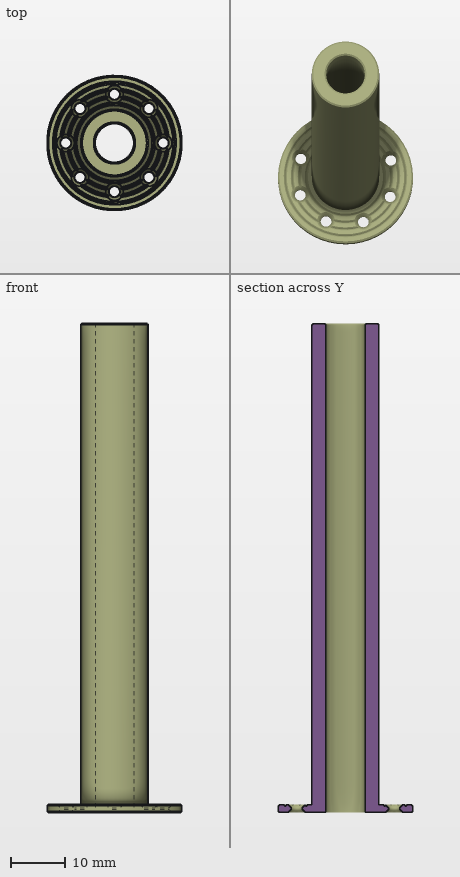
import cadquery as cq

length = 90.6
flange_diameter = 25.0
flange_thickness = 1.5
tube_diameter = 12.5
bore_diameter = 7.2

edge_chamfer = 0.3

groove_count = 4
first_groove_radius = 7.25
last_groove_radius = 11.15
groove_pitch = (last_groove_radius - first_groove_radius) / (groove_count - 1)
groove_width = 0.6
groove_depth = groove_width / 2

hole_count = 8
hole_diameter = 2.0
countersink_diameter = 3.3
countersink_depth = (countersink_diameter - hole_diameter) / 2
hole_circle_diameter = 18.0


def make_flange():
    flange = cq.Workplane("XY").circle(flange_diameter / 2).extrude(flange_thickness)
    return flange.edges().chamfer(edge_chamfer)


def make_tube():
    tube = cq.Workplane("XY").circle(tube_diameter / 2).extrude(length)
    return tube.faces(">Z").edges().chamfer(edge_chamfer)


def make_bore():
    """Cutter for the through bore, flared by a chamfer at the top of the tube."""
    bore_radius = bore_diameter / 2
    profile = [
        (0, 0),
        (bore_radius, 0),
        (bore_radius, length - edge_chamfer),
        (bore_radius + edge_chamfer, length),
        (0, length),
    ]
    return cq.Workplane("XZ").polyline(profile).close().revolve(360, (0, 0, 0), (0, 1, 0))


def make_groove(radius):
    """Ring-shaped cutter with a V section that opens at the top face of the flange."""
    profile = [
        (radius - groove_width / 2, flange_thickness),
        (radius, flange_thickness - groove_depth),
        (radius + groove_width / 2, flange_thickness),
    ]
    return cq.Workplane("XZ").polyline(profile).close().revolve(360, (0, 0, 0), (0, 1, 0))


def make_screw_holes():
    """Cutters for the ring of screw holes, each flared towards both flange faces."""
    hole_radius = hole_diameter / 2
    countersink_radius = countersink_diameter / 2
    profile = [
        (0, 0),
        (countersink_radius, 0),
        (hole_radius, countersink_depth),
        (hole_radius, flange_thickness - countersink_depth),
        (countersink_radius, flange_thickness),
        (0, flange_thickness),
    ]
    hole = cq.Workplane("XZ").polyline(profile).close().revolve(360, (0, 0, 0), (0, 1, 0)).val()
    places = cq.Workplane("XY").polarArray(hole_circle_diameter / 2, 0, 360, hole_count)
    return places.eachpoint(lambda place: hole.moved(place))


result = make_flange().union(make_tube()).cut(make_bore())
for index in range(groove_count):
    result = result.cut(make_groove(first_groove_radius + index * groove_pitch))
result = result.cut(make_screw_holes())